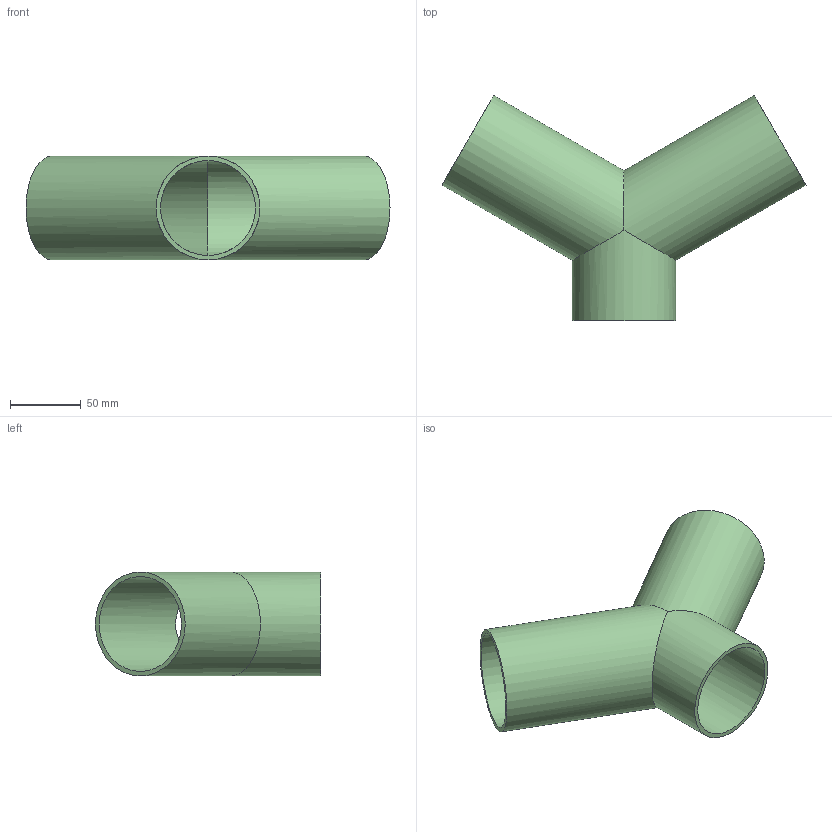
import cadquery as cq
import math

OUTER_DIAMETER = 73.03
WALL_THICKNESS = 3.05
BORE_DIAMETER = OUTER_DIAMETER - 2 * WALL_THICKNESS

LONG_BRANCH_LENGTH = 127.0
SHORT_BRANCH_LENGTH = LONG_BRANCH_LENGTH / 2

BRANCHES = [
    (30, LONG_BRANCH_LENGTH),
    (150, LONG_BRANCH_LENGTH),
    (270, SHORT_BRANCH_LENGTH),
]
BRANCH_SPACING = 360 / len(BRANCHES)


def branch_cylinder(diameter, angle, length):
    """Cylinder along one branch, mitred at the centre to its 120 degree sector."""
    cylinder = cq.Workplane("YZ").circle(diameter / 2).extrude(length)
    sector_reach = 2 * length
    sector_half_width = sector_reach * math.tan(math.radians(BRANCH_SPACING / 2))
    sector = (
        cq.Workplane("XY")
        .polyline([(0, 0), (sector_reach, -sector_half_width), (sector_reach, sector_half_width)])
        .close()
        .extrude(diameter, both=True)
    )
    return cylinder.intersect(sector).rotate((0, 0, 0), (0, 0, 1), angle)


def joined_branches(diameter):
    """Union of the three branch cylinders at one diameter."""
    body = cq.Workplane("XY")
    for angle, length in BRANCHES:
        body = body.add(branch_cylinder(diameter, angle, length))
    return body.combine()


result = joined_branches(OUTER_DIAMETER).cut(joined_branches(BORE_DIAMETER))